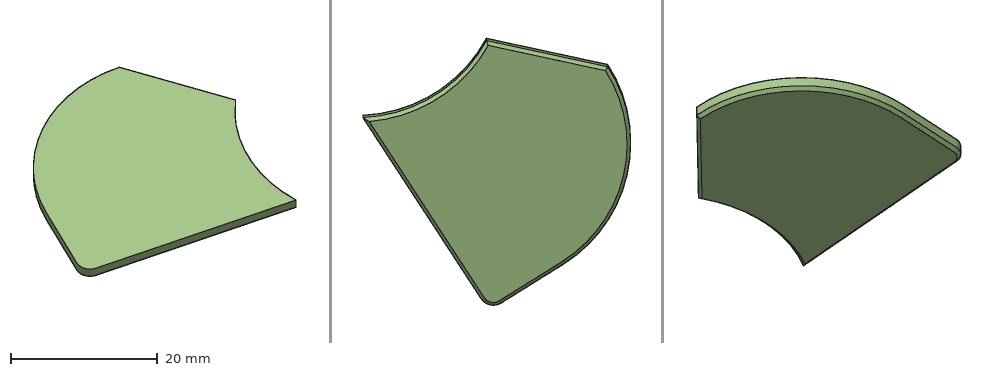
import cadquery as cq
import math

gauge_radius = 20.0
side = 32.0
thickness = 2.0
corner_radius = 2.0
bottom_chamfer = 0.5

concave_chord = gauge_radius
concave_start = side - concave_chord
concave_sag = gauge_radius - math.sqrt(gauge_radius**2 - (concave_chord / 2) ** 2)
concave_middle = (side - concave_chord / 2, side - concave_sag)

convex_middle = gauge_radius * (1 - math.sqrt(0.5))


def gauge_outline():
    """Closed outline of the plate with a sharp straight-sided corner."""
    return (
        cq.Workplane("XY")
        .moveTo(0, gauge_radius)
        .threePointArc((convex_middle, convex_middle), (gauge_radius, 0))
        .lineTo(side, 0)
        .lineTo(side, side)
        .threePointArc(concave_middle, (concave_start, side))
        .close()
    )


def round_corner(plate):
    """Round the vertical edge where the two straight sides meet."""
    corner_edge = cq.selectors.NearestToPointSelector((side, 0, thickness / 2))
    return plate.edges("|Z").edges(corner_edge).fillet(corner_radius)


def bevel_underside(plate):
    return plate.faces("<Z").edges().chamfer(bottom_chamfer)


result = bevel_underside(round_corner(gauge_outline().extrude(thickness)))